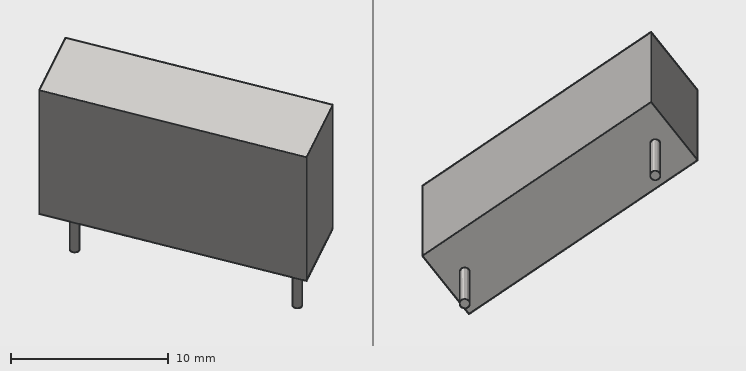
import cadquery as cq

body_length = 18.0
body_width = 5.0
total_height = 16.1

lead_length = 4.99
lead_diameter = 0.65
lead_spacing = 15.0

body_height = total_height - lead_length


def make_body():
    """Plain block with its underside at Z = 0."""
    return cq.Workplane("XY").box(
        body_length, body_width, body_height, centered=(True, True, False)
    )


def make_leads():
    """Pair of straight leads hanging from the underside."""
    return (
        cq.Workplane("XY")
        .pushPoints([(-lead_spacing / 2, 0), (lead_spacing / 2, 0)])
        .circle(lead_diameter / 2)
        .extrude(-lead_length)
    )


result = make_body().union(make_leads())